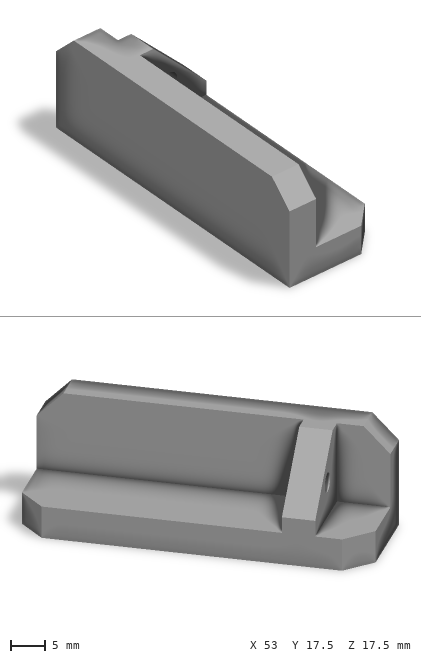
import cadquery as cq

length = 53.0
leg = 17.5
thickness = 5.0
corner_chamfer = 4.0

rib_start = 8.0
rib_width = 5.0
rib_land = 2.5

hole_diameter = 3.0
hole_offset = 10.5


def make_base():
    plate = cq.Workplane("XY").box(length, leg, thickness, centered=False)
    return plate.edges("|Z and >Y").chamfer(corner_chamfer)


def make_wall():
    plate = cq.Workplane("XY").box(length, thickness, leg, centered=False)
    return plate.edges("|Y and >Z").chamfer(corner_chamfer)


def make_rib():
    land_end = thickness + rib_land
    profile = [
        (0, 0),
        (leg, 0),
        (leg, land_end),
        (land_end, leg),
        (0, leg),
    ]
    plane = cq.Workplane("YZ", origin=(rib_start, 0, 0))
    rib = plane.polyline(profile).close().extrude(rib_width)
    hole = plane.center(hole_offset, hole_offset).circle(hole_diameter / 2).extrude(rib_width)
    return rib.cut(hole)


result = make_base().union(make_wall()).union(make_rib())